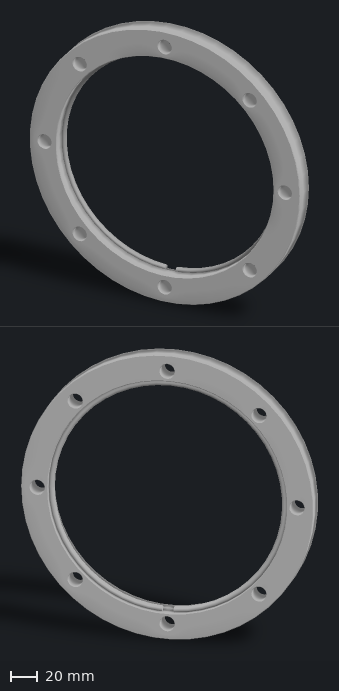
import cadquery as cq

flange_diameter = 225.0
bore_diameter = 180.6
flange_thickness = 16.0
edge_chamfer = 0.5

seat_diameter = 184.0
seat_shoulder_depth = 9.5

hole_count = 8
bolt_circle_diameter = 200.0
hole_diameter = 11.0

ring_inner_diameter = 175.0
ring_gap = 9.0
wire_diameter = (seat_diameter - ring_inner_diameter) / 2

front_y = -flange_thickness / 2
back_y = flange_thickness / 2
seat_depth = flange_thickness - seat_shoulder_depth
wire_center_radius = (ring_inner_diameter + wire_diameter) / 2
wire_center_y = front_y + seat_shoulder_depth + wire_diameter / 2


def disc(diameter, depth):
    """Solid disc that reaches from the back face forward by the given depth."""
    return cq.Workplane("XZ", origin=(0, back_y, 0)).circle(diameter / 2).extrude(depth)


def bolt_holes():
    """Cutters for the circle of through holes."""
    return (
        cq.Workplane("XZ", origin=(0, back_y, 0))
        .polarArray(bolt_circle_diameter / 2, 0, 360, hole_count)
        .circle(hole_diameter / 2)
        .extrude(flange_thickness)
    )


def make_flange():
    """Flat ring with a stepped bore and bolt holes, all face rims chamfered."""
    ring = disc(flange_diameter, flange_thickness)
    ring = ring.cut(disc(bore_diameter, flange_thickness))
    ring = ring.cut(disc(seat_diameter, seat_depth))
    ring = ring.cut(bolt_holes())
    return ring.faces("<Y or >Y").edges().chamfer(edge_chamfer)


def make_snap_ring():
    """Torus of round wire with a parallel-sided gap at the bottom."""
    wire = (
        cq.Workplane("XY")
        .center(wire_center_radius, wire_center_y)
        .circle(wire_diameter / 2)
        .revolve(360, (-wire_center_radius, 0, 0), (-wire_center_radius, 1, 0))
    )
    gap = (
        cq.Workplane("XY")
        .box(ring_gap, flange_thickness, seat_diameter / 2, centered=(True, True, False))
        .translate((0, 0, -seat_diameter / 2))
    )
    return wire.cut(gap)


flange = make_flange()
snap_ring = make_snap_ring()

result = cq.Compound.makeCompound([flange.val(), snap_ring.val()])